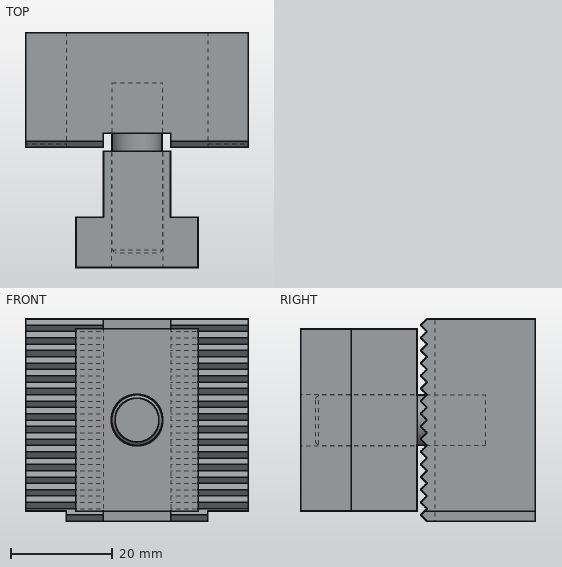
import cadquery as cq

JAW_WIDTH = 44.0
JAW_HEIGHT = 40.0
JAW_DEPTH = 22.7
TOOTH_COUNT = 16
TOOTH_PITCH = JAW_HEIGHT / TOOTH_COUNT
TOOTH_DEPTH = TOOTH_PITCH / 2
KEY_WIDTH = 28.0
KEY_HEIGHT = 2.0
SLOT_WIDTH = 13.3
SLOT_DEPTH = 2.8

OVERALL_DEPTH = 46.4
NUT_DEPTH = 23.0
NUT_HEIGHT = JAW_HEIGHT - 2 * KEY_HEIGHT
NECK_WIDTH = SLOT_WIDTH
FLANGE_WIDTH = 24.15
FLANGE_DEPTH = 9.98
NUT_HOLE_DIAMETER = 10.2

SCREW_DIAMETER = 9.98
SCREW_CHAMFER = 0.65
SCREW_RECESS = 2.9
SCREW_ENGAGEMENT = SCREW_DIAMETER

FLANGE_BACK_Y = FLANGE_DEPTH
JAW_BACK_Y = OVERALL_DEPTH
TOOTH_TIP_Y = JAW_BACK_Y - JAW_DEPTH
TOOTH_ROOT_Y = TOOTH_TIP_Y + TOOTH_DEPTH
SLOT_FLOOR_Y = TOOTH_TIP_Y + SLOT_DEPTH
SCREW_TIP_Y = SCREW_RECESS
SCREW_END_Y = SLOT_FLOOR_Y + SCREW_ENGAGEMENT


def block(width, y_start, y_end, height):
    """Box centred on X and Z, spanning y_start to y_end."""
    return cq.Workplane("XY").box(width, y_end - y_start, height).translate((0, (y_start + y_end) / 2, 0))


def rod(diameter, y_start, y_end):
    """Cylinder on the Y axis, spanning y_start to y_end."""
    return cq.Workplane("XZ", origin=(0, y_start, 0)).circle(diameter / 2).extrude(y_start - y_end)


def make_screw():
    return rod(SCREW_DIAMETER, SCREW_TIP_Y, SCREW_END_Y).faces("<Y").chamfer(SCREW_CHAMFER)


def make_nut():
    flange = block(FLANGE_WIDTH, 0, FLANGE_BACK_Y, NUT_HEIGHT)
    neck = block(NECK_WIDTH, 0, NUT_DEPTH, NUT_HEIGHT)
    return flange.union(neck).cut(rod(NUT_HOLE_DIAMETER, 0, NUT_DEPTH))


def toothed_block():
    """Jaw body with a row of V teeth, extruded across the jaw width."""
    top = JAW_HEIGHT / 2
    points = [(JAW_BACK_Y, top), (TOOTH_ROOT_Y, top)]
    for i in range(TOOTH_COUNT):
        points.append((TOOTH_TIP_Y, top - (i + 0.5) * TOOTH_PITCH))
        points.append((TOOTH_ROOT_Y, top - (i + 1) * TOOTH_PITCH))
    points.append((JAW_BACK_Y, -top))
    return cq.Workplane("YZ").polyline(points).close().extrude(JAW_WIDTH / 2, both=True)


def make_jaw():
    jaw = toothed_block()
    corner_width = (JAW_WIDTH - KEY_WIDTH) / 2
    corner_x = (JAW_WIDTH - corner_width) / 2
    corner_z = -(JAW_HEIGHT - KEY_HEIGHT) / 2
    corner = cq.Workplane("XY").box(corner_width, JAW_DEPTH, KEY_HEIGHT)
    for side in (-1, 1):
        jaw = jaw.cut(corner.translate((side * corner_x, JAW_BACK_Y - JAW_DEPTH / 2, corner_z)))
    slot = block(SLOT_WIDTH, TOOTH_TIP_Y, SLOT_FLOOR_Y, JAW_HEIGHT)
    return jaw.cut(slot).cut(rod(SCREW_DIAMETER, SLOT_FLOOR_Y, SCREW_END_Y))


jaw = make_jaw()
nut = make_nut()
screw = make_screw()
result = cq.Compound.makeCompound([jaw.val(), nut.val(), screw.val()])